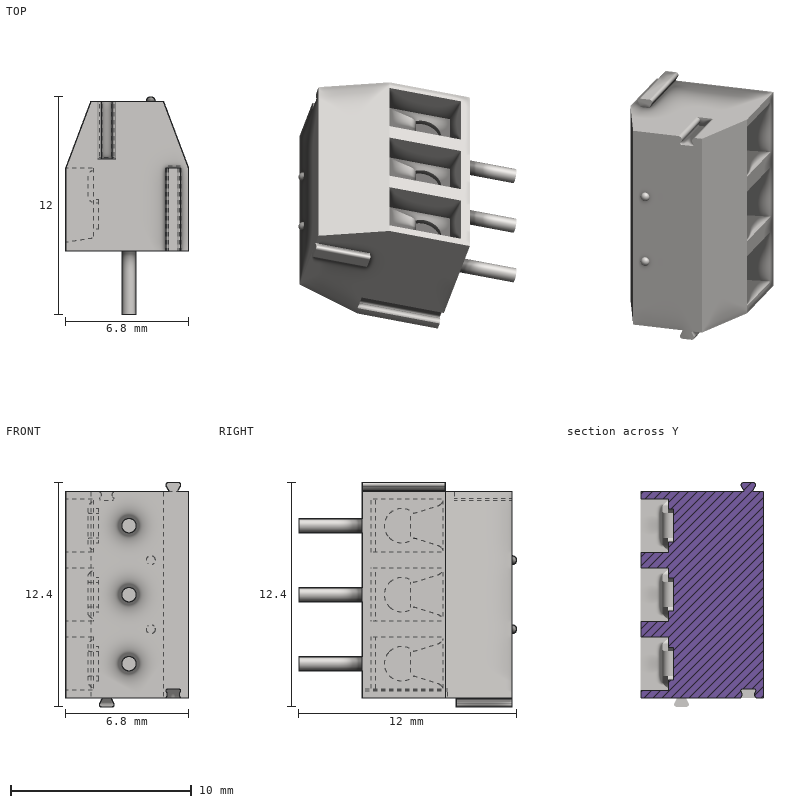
import cadquery as cq


pole_count = 3
pitch = 3.82
width = 6.8
depth = 8.29
height = 11.44
taper_width = 1.39
taper_depth = 3.69
shoulder_y = depth - taper_depth

pin_radius = 0.4
pin_length = 3.5
pin_x = 0.1

dome_radius = 0.25
dome_x = 1.3

pocket_height = 2.93
pocket_depth = 1.53
pocket_front_y = 0.5
pocket_floor_front_y = 0.73
pocket_floor_x = pocket_depth - width / 2
hole_radius = 0.96
hole_depth = 0.27
hole_y = 2.19
hole_floor_x = pocket_floor_x + hole_depth

leaf_rise = 0.3
leaf_top_x = pocket_floor_x - leaf_rise
leaf_root_y = 4.49
leaf_root_radius = 0.39
leaf_root_half_width = 1.38
leaf_flare_half_width = 1.18
leaf_flare_length = 0.15
leaf_flat_y = leaf_root_y - leaf_root_radius
leaf_flat_half_width = 1.07
leaf_bend_radius = 0.42
leaf_tip_y = 2.66
leaf_bend_y = leaf_tip_y + leaf_bend_radius
leaf_bend_half_width = 0.75
leaf_neck_y = 2.86
leaf_tip_half_width = 0.68

rail_height = 0.5
rail_head_half_width = 0.41
rail_neck_height = 0.05
groove_depth = 0.5
groove_belly_half_width = 0.41
groove_neck_depth = 0.19
groove_belly_depth = 0.39
groove_corner_radius = 0.1
front_lock_x = 2.55
rear_lock_x = -1.13
front_rail_length = shoulder_y
front_groove_length = 4.71
rear_rail_length = 3.1
rear_groove_length = 3.18
front_neck_half_width = 0.26
rear_neck_half_width = 0.27
front_groove_neck_half_width = 0.34
front_groove_mouth_half_width = 0.44
rear_groove_neck_half_width = 0.3
rear_groove_mouth_half_width = 0.5

DIAGONAL = 0.5 ** 0.5

pole_levels = [pitch * (i - (pole_count - 1) / 2) for i in range(pole_count)]
gap_levels = [(low + high) / 2 for low, high in zip(pole_levels, pole_levels[1:])]


def make_housing():
    """Block whose two sides taper towards the +Y end."""
    end_half_width = width / 2 - taper_width
    return (
        cq.Workplane("XY", origin=(0, 0, -height / 2))
        .moveTo(-width / 2, 0)
        .lineTo(width / 2, 0)
        .lineTo(width / 2, shoulder_y)
        .lineTo(end_half_width, depth)
        .lineTo(-end_half_width, depth)
        .lineTo(-width / 2, shoulder_y)
        .close()
        .extrude(height)
    )


def make_rail(x, start_y, length, side, neck):
    """Round-shouldered rail on the top (side 1) or the bottom (side -1)."""
    radius = rail_head_half_width - neck
    centre_z = rail_height - radius
    slope_sine = radius / (centre_z - rail_neck_height)
    slope_cosine = (1 - slope_sine ** 2) ** 0.5
    flank_x = neck + radius * slope_cosine
    flank_z = side * (centre_z - radius * slope_sine)
    widest_z = side * centre_z
    neck_z = side * rail_neck_height
    top_z = side * rail_height
    return (
        cq.Workplane("XZ", origin=(x, start_y, side * height / 2))
        .moveTo(-neck, 0)
        .lineTo(neck, 0)
        .lineTo(neck, neck_z)
        .lineTo(flank_x, flank_z)
        .threePointArc((rail_head_half_width, widest_z), (neck, top_z))
        .lineTo(-neck, top_z)
        .threePointArc((-rail_head_half_width, widest_z), (-flank_x, flank_z))
        .lineTo(-neck, neck_z)
        .close()
        .extrude(-length)
    )


def make_groove(x, start_y, length, side, neck, mouth):
    """Cutter for a groove with rounded lips and a wider belly, in the top or bottom."""
    belly = groove_belly_half_width
    floor = belly - groove_corner_radius
    corner_x = floor + groove_corner_radius * DIAGONAL
    corner_centre_depth = groove_depth - groove_corner_radius
    neck_z = -side * groove_neck_depth
    belly_z = -side * groove_belly_depth
    wall_z = -side * corner_centre_depth
    corner_z = -side * (corner_centre_depth + groove_corner_radius * DIAGONAL)
    floor_z = -side * groove_depth
    return (
        cq.Workplane("XZ", origin=(x, start_y, side * height / 2))
        .moveTo(-mouth, 0)
        .lineTo(mouth, 0)
        .threePointArc((neck, neck_z), (belly, belly_z))
        .lineTo(belly, wall_z)
        .threePointArc((corner_x, corner_z), (floor, floor_z))
        .lineTo(-floor, floor_z)
        .threePointArc((-corner_x, corner_z), (-belly, wall_z))
        .lineTo(-belly, belly_z)
        .threePointArc((-neck, neck_z), (-mouth, 0))
        .close()
        .extrude(-length)
    )


def make_pocket(level):
    """Cutter for a wire pocket with a sloping front wall and a round hole in its floor."""
    recess = (
        cq.Workplane("XY", origin=(0, 0, level))
        .moveTo(-width / 2, pocket_front_y)
        .lineTo(pocket_floor_x, pocket_floor_front_y)
        .lineTo(pocket_floor_x, shoulder_y)
        .lineTo(-width / 2, shoulder_y)
        .close()
        .extrude(pocket_height / 2, both=True)
    )
    hole = (
        cq.Workplane("YZ", origin=(pocket_floor_x, hole_y, level))
        .circle(hole_radius)
        .extrude(hole_depth)
    )
    return recess.union(hole)


def make_leaf(level):
    """Leaf with both ends rolled down, narrowing from its root to its tip."""
    root_centre_x = leaf_top_x + leaf_root_radius
    bend_centre_x = leaf_top_x + leaf_bend_radius
    root_mid = (root_centre_x - leaf_root_radius * DIAGONAL, leaf_flat_y + leaf_root_radius * DIAGONAL)
    bend_mid = (bend_centre_x - leaf_bend_radius * DIAGONAL, leaf_bend_y - leaf_bend_radius * DIAGONAL)
    side_profile = (
        cq.Workplane("XY", origin=(0, 0, level))
        .moveTo(hole_floor_x, leaf_root_y)
        .lineTo(root_centre_x, leaf_root_y)
        .threePointArc(root_mid, (leaf_top_x, leaf_flat_y))
        .lineTo(leaf_top_x, leaf_bend_y)
        .threePointArc(bend_mid, (bend_centre_x, leaf_tip_y))
        .lineTo(hole_floor_x, leaf_tip_y)
        .close()
        .extrude(leaf_root_half_width, both=True)
    )
    flare_y = leaf_root_y - leaf_flare_length
    outline = (
        cq.Workplane("YZ", origin=(leaf_top_x, 0, level))
        .moveTo(leaf_root_y, -leaf_root_half_width)
        .lineTo(leaf_root_y, leaf_root_half_width)
        .threePointArc((flare_y, leaf_flare_half_width), (leaf_flat_y, leaf_flat_half_width))
        .lineTo(leaf_bend_y, leaf_bend_half_width)
        .lineTo(leaf_neck_y, leaf_tip_half_width)
        .lineTo(leaf_tip_y, leaf_tip_half_width)
        .lineTo(leaf_tip_y, -leaf_tip_half_width)
        .lineTo(leaf_neck_y, -leaf_tip_half_width)
        .lineTo(leaf_bend_y, -leaf_bend_half_width)
        .lineTo(leaf_flat_y, -leaf_flat_half_width)
        .threePointArc((flare_y, -leaf_flare_half_width), (leaf_root_y, -leaf_root_half_width))
        .close()
        .extrude(leaf_rise + hole_depth)
    )
    return side_profile.intersect(outline)


def make_pin(level):
    """Round solder pin standing out of the -Y face."""
    return cq.Workplane("XZ", origin=(pin_x, 0, level)).circle(pin_radius).extrude(pin_length)


def make_dome(level):
    """Ball centred on the +Y face, so that half of it stands out."""
    return cq.Workplane("XY", origin=(dome_x, depth, level)).sphere(dome_radius)


result = make_housing()

for pole_z in pole_levels:
    result = result.cut(make_pocket(pole_z))
    result = result.union(make_leaf(pole_z))
    result = result.union(make_pin(pole_z))

for gap_z in gap_levels:
    result = result.union(make_dome(gap_z))

result = result.union(make_rail(front_lock_x, 0, front_rail_length, 1, front_neck_half_width))
result = result.cut(
    make_groove(
        front_lock_x,
        0,
        front_groove_length,
        -1,
        front_groove_neck_half_width,
        front_groove_mouth_half_width,
    )
)

result = result.union(
    make_rail(rear_lock_x, depth - rear_rail_length, rear_rail_length, -1, rear_neck_half_width)
)
result = result.cut(
    make_groove(
        rear_lock_x,
        depth - rear_groove_length,
        rear_groove_length,
        1,
        rear_groove_neck_half_width,
        rear_groove_mouth_half_width,
    )
)